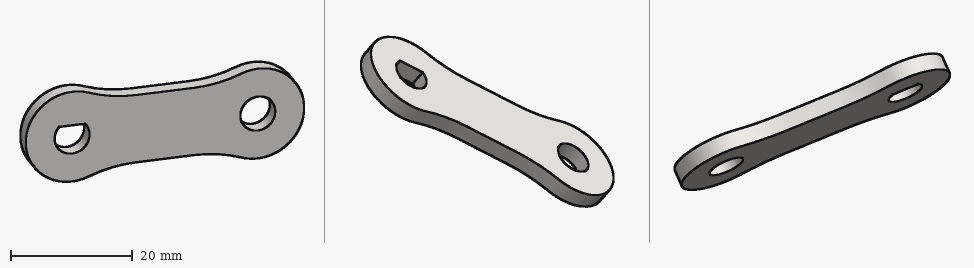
import cadquery as cq
import math

thickness = 3.0
hole_spacing = 32.0
end_radius = 8.0
waist_half_height = 6.0
waist_half_length = 5.0
hole_diameter = 6.0
flat_height = 2.0

hole_y = hole_spacing / 2

neck_run = hole_y - waist_half_length
neck_radius = (neck_run**2 + waist_half_height**2 - end_radius**2) / (2 * (end_radius - waist_half_height))
neck_center_z = waist_half_height + neck_radius
center_distance = end_radius + neck_radius

join_y = hole_y - end_radius * neck_run / center_distance
join_z = end_radius * neck_center_z / center_distance

neck_mid_angle = math.asin(neck_run / center_distance) / 2
neck_mid_y = waist_half_length + neck_radius * math.sin(neck_mid_angle)
neck_mid_z = neck_center_z - neck_radius * math.cos(neck_mid_angle)


def make_plate():
    """Waisted plate with a round end around each hole."""
    half_length = hole_y + end_radius
    return (
        cq.Workplane("YZ")
        .moveTo(-waist_half_length, waist_half_height)
        .lineTo(waist_half_length, waist_half_height)
        .threePointArc((neck_mid_y, neck_mid_z), (join_y, join_z))
        .threePointArc((half_length, 0), (join_y, -join_z))
        .threePointArc((neck_mid_y, -neck_mid_z), (waist_half_length, -waist_half_height))
        .lineTo(-waist_half_length, -waist_half_height)
        .threePointArc((-neck_mid_y, -neck_mid_z), (-join_y, -join_z))
        .threePointArc((-half_length, 0), (-join_y, join_z))
        .threePointArc((-neck_mid_y, neck_mid_z), (-waist_half_length, waist_half_height))
        .close()
        .extrude(thickness / 2, both=True)
    )


def make_round_hole():
    """Round through hole at the +Y end."""
    return (
        cq.Workplane("YZ")
        .center(hole_y, 0)
        .circle(hole_diameter / 2)
        .extrude(thickness, both=True)
    )


def make_d_hole():
    """Through hole at the -Y end, closed off by a flat on its +Z side."""
    hole_radius = hole_diameter / 2
    flat_half_width = math.sqrt(hole_radius**2 - flat_height**2)
    return (
        cq.Workplane("YZ")
        .center(-hole_y, 0)
        .moveTo(-flat_half_width, flat_height)
        .lineTo(flat_half_width, flat_height)
        .threePointArc((0, -hole_radius), (-flat_half_width, flat_height))
        .close()
        .extrude(thickness, both=True)
    )


result = make_plate().cut(make_round_hole()).cut(make_d_hole())